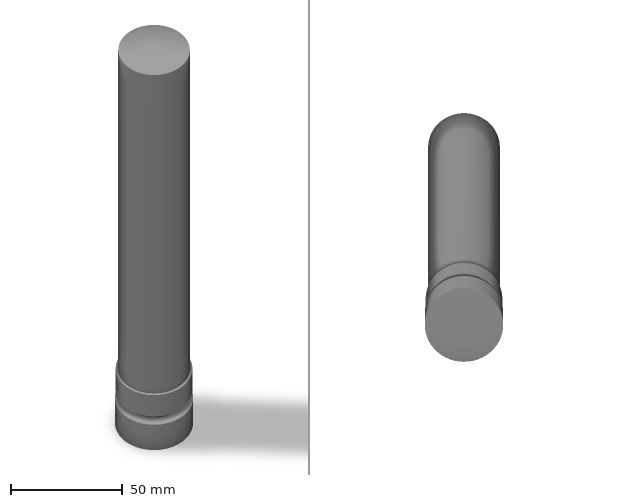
import cadquery as cq

total_length = 234.0
base_diameter = 35.0
base_height = 16.0
groove_diameter = 26.0
groove_width = 5.0
collar_diameter = 34.5
collar_height = 13.3
rod_diameter = 32.0
rod_length = total_length - base_height - groove_width - collar_height


def add_cylinder(body, diameter, height):
    """Stack a coaxial cylinder on the top face of the body."""
    return body.faces(">Z").workplane().circle(diameter / 2).extrude(height)


result = cq.Workplane("XY").circle(base_diameter / 2).extrude(base_height)

result = add_cylinder(result, groove_diameter, groove_width)
result = add_cylinder(result, collar_diameter, collar_height)
result = add_cylinder(result, rod_diameter, rod_length)